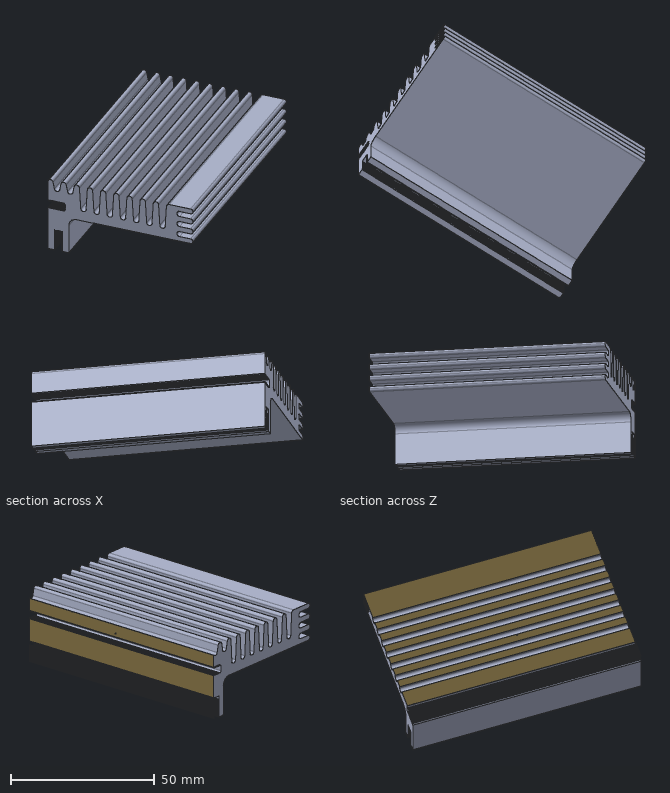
import cadquery as cq
import math

length = 84.0
width = 55.0
height = 28.0
plate_thickness = 13.95
leg_width = 8.0
inner_corner_radius = 3.0

fin_count = 9
fin_tip_radius = 1.0
first_fin_x = fin_tip_radius
last_fin_x = 41.0
fin_pitch = (last_fin_x - first_fin_x) / (fin_count - 1)
groove_root_radius = 1.0
shallow_groove_depth = 4.2
shallow_groove_count = 2
deep_groove_depth = 10.1

end_slot_count = 3
end_slot_width = 2.0
end_slot_depth = 6.05
end_slot_pitch = 4.0
end_corner_radius = 0.9

thread_pitch = 0.5
thread_flat = thread_pitch / 4
crest_half_width = 1.3
root_half_width = 1.5
mouth_half_width = 1.7
mouth_chamfer = mouth_half_width - crest_half_width
side_slot_depth = 6.55
side_slot_tooth_count = 10
side_slot_corner_radius = 0.7
side_slot_z = 18.0
foot_slot_depth = 8.0
foot_slot_tooth_count = 12
foot_slot_x = leg_width / 2

plate_bottom_z = height - plate_thickness


def extrude_profile(profile):
    """Extrude a closed XZ profile along +Y, centred on Y = 0."""
    return profile.extrude(length / 2, both=True)


def make_body():
    """L-shaped bar, rounded at the inner corner and at its outer top corner."""
    profile = (
        cq.Workplane("XZ")
        .lineTo(leg_width, 0)
        .lineTo(leg_width, plate_bottom_z - inner_corner_radius)
        .radiusArc((leg_width + inner_corner_radius, plate_bottom_z), inner_corner_radius)
        .lineTo(width, plate_bottom_z)
        .lineTo(width, height)
        .lineTo(first_fin_x, height)
        .radiusArc((0, height - fin_tip_radius), -fin_tip_radius)
        .close()
    )
    return extrude_profile(profile)


def make_groove(center_x, depth):
    """Tapered groove: a root arc joined by tangent flanks to the two neighbouring fin tips."""
    root_z = height - depth + groove_root_radius
    tip_z = height - fin_tip_radius
    half_pitch = fin_pitch / 2
    center_distance = math.hypot(half_pitch, tip_z - root_z)
    center_angle = math.atan2(tip_z - root_z, half_pitch)
    normal_angle = center_angle - math.acos((groove_root_radius + fin_tip_radius) / center_distance)
    normal_x = math.cos(normal_angle)
    normal_z = math.sin(normal_angle)

    root_x = groove_root_radius * normal_x
    flank_bottom_z = root_z + groove_root_radius * normal_z
    flank_top_x = half_pitch - fin_tip_radius * normal_x
    flank_top_z = tip_z - fin_tip_radius * normal_z
    profile = (
        cq.Workplane("XZ", origin=(center_x, 0, 0))
        .moveTo(-half_pitch, height)
        .radiusArc((-flank_top_x, flank_top_z), fin_tip_radius)
        .lineTo(-root_x, flank_bottom_z)
        .threePointArc((0, height - depth), (root_x, flank_bottom_z))
        .lineTo(flank_top_x, flank_top_z)
        .radiusArc((half_pitch, height), fin_tip_radius)
        .close()
    )
    return extrude_profile(profile)


def cut_fin_grooves(body):
    for index in range(fin_count):
        depth = shallow_groove_depth if index < shallow_groove_count else deep_groove_depth
        center_x = first_fin_x + (index + 0.5) * fin_pitch
        body = body.cut(make_groove(center_x, depth))
    return body


def cut_end_slots(body):
    """Cut the slots in the +X end, then round every long edge of that end."""
    middle_z = plate_bottom_z + plate_thickness / 2
    slots = (
        cq.Workplane("XZ", origin=(width, 0, middle_z))
        .rarray(0.8, end_slot_pitch, 1, end_slot_count)
        .slot2D(2 * end_slot_depth, end_slot_width)
    )
    body = body.cut(extrude_profile(slots))
    return body.faces(">X").edges("|Y").fillet(end_corner_radius)


def make_screw_slot(depth, tooth_count):
    """Screw slot opening at Z = 0 and running up to Z = depth, symmetric about X = 0."""
    wall = [(mouth_half_width, 0), (crest_half_width, mouth_chamfer)]
    for tooth in range(tooth_count):
        crest_z = mouth_chamfer + tooth * thread_pitch
        wall.append((crest_half_width, crest_z + thread_flat))
        wall.append((root_half_width, crest_z + thread_pitch / 2))
        wall.append((root_half_width, crest_z + thread_pitch / 2 + thread_flat))
        wall.append((crest_half_width, crest_z + thread_pitch))
    last_crest_z = mouth_chamfer + tooth_count * thread_pitch
    wall.append((crest_half_width, last_crest_z + thread_flat))
    wall.append((root_half_width, last_crest_z + thread_pitch / 2))
    wall.append((root_half_width, depth))
    opposite_wall = [(-x, z) for x, z in reversed(wall)]
    return extrude_profile(cq.Workplane("XZ").polyline(wall + opposite_wall).close())


def cut_screw_slots(body):
    """Cut the slot up into the foot of the leg and the round-cornered slot in the -X side."""
    foot_slot = make_screw_slot(foot_slot_depth, foot_slot_tooth_count)
    side_slot = make_screw_slot(side_slot_depth, side_slot_tooth_count)
    side_slot = side_slot.faces(">Z").edges("|Y").fillet(side_slot_corner_radius)
    side_slot = side_slot.rotate((0, 0, 0), (0, 1, 0), 90)
    body = body.cut(foot_slot.translate((foot_slot_x, 0, 0)))
    return body.cut(side_slot.translate((0, 0, side_slot_z)))


result = cut_screw_slots(cut_end_slots(cut_fin_grooves(make_body())))